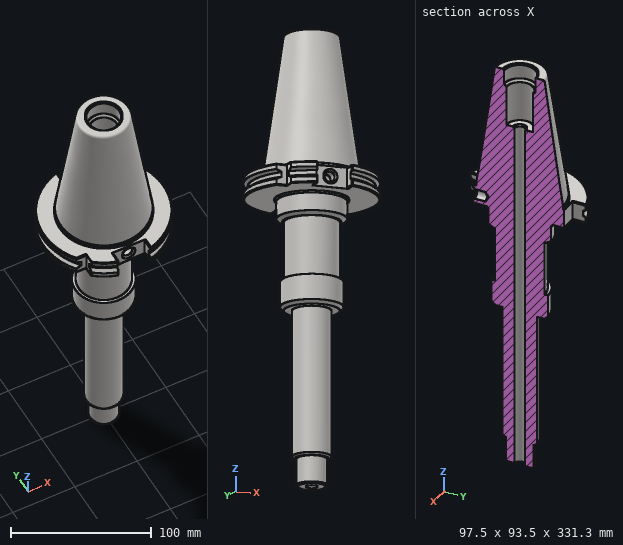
import cadquery as cq
import math

total_length = 331.3
taper_length = 102.5
gauge_z = total_length - taper_length
flange_gap = 2.5
flange_top_z = gauge_z - flange_gap
flange_thickness = 15.5
flange_bottom_z = flange_top_z - flange_thickness
boss_bottom_z = 194.0
collar_top_z = 150.5
collar_bottom_z = 129.2
nose_top_z = 20.2

flange_diameter = 97.5
gauge_diameter = 70.0
taper_ratio = 7 / 24
taper_end_diameter = gauge_diameter - taper_length * taper_ratio
relief_diameter = 69.2
boss_diameter = 50.7
neck_diameter = 40.0
collar_diameter = 45.5
shaft_diameter = 28.0
nose_diameter = 22.2

taper_end_fillet = 2.0
boss_chamfer_height = 2.3
boss_chamfer_width = 4.3
collar_chamfer = 2.5
shaft_chamfer = 1.5
nose_chamfer = 1.0
boss_root_chamfer = 1.3
relief_root_chamfer = 0.5
rim_chamfer = 0.5

groove_z = 218.5
groove_root_diameter = 91.0
groove_mouth_width = 7.3
groove_root_width = 3.3

slot_width = 25.5
slot_corner_chamfer = 1.0
front_slot_floor = 37.5
rear_slot_floor = 35.5
notch_offset = 30.0

bore_mouth_diameter = 27.0
bore_diameter = 25.0
bore_depth = 12.3
thread_diameter = 21.0
thread_depth = 46.5
coolant_mouth_diameter = 10.5
coolant_diameter = 8.3

side_hole_mouth_diameter = 10.5
side_hole_diameter = 7.5
side_hole_depth = 10.0
drill_point_angle = 118.0


def revolve_profile(points):
    """Revolve (radius, z) points, closed along the Z axis, into a solid."""
    return cq.Workplane("XZ").polyline(points).close().revolve(360, (0, 0), (0, 1))


def make_body():
    boss_r = boss_diameter / 2
    collar_r = collar_diameter / 2
    shaft_r = shaft_diameter / 2
    nose_r = nose_diameter / 2
    relief_r = relief_diameter / 2
    return revolve_profile([
        (0, 0),
        (nose_r - nose_chamfer, 0),
        (nose_r, nose_chamfer),
        (nose_r, nose_top_z),
        (shaft_r - shaft_chamfer, nose_top_z),
        (shaft_r, nose_top_z + shaft_chamfer),
        (shaft_r, collar_bottom_z),
        (collar_r - collar_chamfer, collar_bottom_z),
        (collar_r, collar_bottom_z + collar_chamfer),
        (collar_r, collar_top_z),
        (neck_diameter / 2, collar_top_z),
        (neck_diameter / 2, boss_bottom_z),
        (boss_r - boss_chamfer_width, boss_bottom_z),
        (boss_r, boss_bottom_z + boss_chamfer_height),
        (boss_r, flange_bottom_z - boss_root_chamfer),
        (boss_r + boss_root_chamfer, flange_bottom_z),
        (boss_r + boss_root_chamfer, flange_top_z),
        (relief_r + relief_root_chamfer, flange_top_z),
        (relief_r, flange_top_z + relief_root_chamfer),
        (relief_r, gauge_z),
        (gauge_diameter / 2, gauge_z),
        (taper_end_diameter / 2, total_length),
        (0, total_length),
    ]).faces(">Z").edges().fillet(taper_end_fillet)


def make_groove():
    root_r = groove_root_diameter / 2
    rim_r = flange_diameter / 2
    return revolve_profile([
        (root_r, groove_z - groove_root_width / 2),
        (rim_r, groove_z - groove_mouth_width / 2),
        (rim_r, groove_z + groove_mouth_width / 2),
        (root_r, groove_z + groove_root_width / 2),
    ])


def make_drive_slot(floor_y, side):
    """Slot from its floor outwards, flared where its walls meet the rim; side is -1 or 1 along Y."""
    half = slot_width / 2
    corner_y = math.sqrt((flange_diameter / 2) ** 2 - (half + slot_corner_chamfer) ** 2)
    outer_y = flange_diameter / 2
    flare = half + slot_corner_chamfer
    right_side = [
        (half, floor_y),
        (half, corner_y - slot_corner_chamfer),
        (flare, corner_y),
        (flare, outer_y),
    ]
    outline = right_side + [(-x, y) for x, y in reversed(right_side)]
    return (
        cq.Workplane("XY", origin=(0, 0, flange_bottom_z))
        .polyline([(x, side * y) for x, y in outline])
        .close()
        .extrude(flange_thickness)
    )


def make_notch():
    edge = flange_diameter / 2
    size = edge - notch_offset
    return (
        cq.Workplane("XY", origin=(-edge, -edge, flange_bottom_z))
        .rect(size, size, centered=False)
        .extrude(flange_thickness)
    )


def make_flange():
    """Slotted and notched disc with broken edges, except along the drive slot floors and notch wall."""
    slotted_disc = (
        cq.Workplane("XY", origin=(0, 0, flange_bottom_z))
        .circle(flange_diameter / 2)
        .extrude(flange_thickness)
        .cut(make_drive_slot(front_slot_floor, -1))
        .cut(make_drive_slot(rear_slot_floor, 1))
        .faces("<Z or >Z")
        .edges("not |X")
        .chamfer(rim_chamfer)
    )
    notched_disc = slotted_disc.cut(make_notch()).edges("|X").edges("<X").chamfer(rim_chamfer)
    return notched_disc.cut(make_groove())


def make_axial_bore():
    mouth_r = bore_mouth_diameter / 2
    bore_r = bore_diameter / 2
    thread_r = thread_diameter / 2
    coolant_mouth_r = coolant_mouth_diameter / 2
    coolant_r = coolant_diameter / 2
    ledge_z = total_length - bore_depth
    floor_z = total_length - thread_depth
    return revolve_profile([
        (0, 0),
        (coolant_r, 0),
        (coolant_r, floor_z - (coolant_mouth_r - coolant_r)),
        (coolant_mouth_r, floor_z),
        (thread_r, floor_z),
        (thread_r, ledge_z - (bore_r - thread_r)),
        (bore_r, ledge_z),
        (bore_r, total_length - (mouth_r - bore_r)),
        (mouth_r, total_length),
        (0, total_length),
    ])


def make_side_hole():
    mouth_r = side_hole_mouth_diameter / 2
    hole_r = side_hole_diameter / 2
    point_length = hole_r / math.tan(math.radians(drill_point_angle / 2))
    drill = revolve_profile([
        (0, 0),
        (mouth_r, 0),
        (hole_r, -(mouth_r - hole_r)),
        (hole_r, -side_hole_depth),
        (0, -side_hole_depth - point_length),
    ])
    return drill.rotate((0, 0, 0), (1, 0, 0), 90).translate((0, -front_slot_floor, groove_z))


result = (
    make_body()
    .union(make_flange())
    .cut(make_axial_bore())
    .cut(make_side_hole())
)